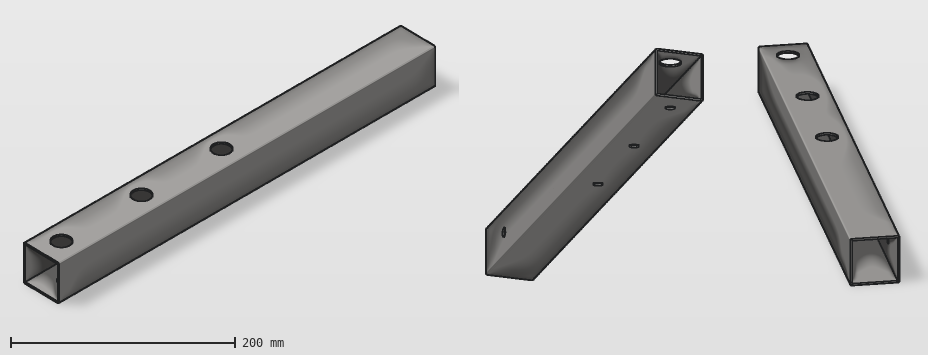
import cadquery as cq

tube_side = 45.0
tube_length = 470.0
wall = 2.0
corner_radius = 2.0

access_diameter = 20.0
screw_diameter = 8.5
screw_count = 3
screw_spacing = 100.0
first_screw_from_front = 25.0

side_hole_diameter = 8.5
side_hole_from_rear = 50.0

half_side = tube_side / 2
half_length = tube_length / 2
bore_side = tube_side - 2 * wall


def make_tube():
    """Open-ended square tube with rounded outer edges and a sharp-cornered bore."""
    outside = cq.Workplane("XY").box(tube_side, tube_length, tube_side)
    outside = outside.edges("|Y").fillet(corner_radius)
    bore = cq.Workplane("XY").box(bore_side, tube_length, bore_side)
    return outside.cut(bore)


def vertical_hole(y, diameter, bottom_z):
    """Cutter of half the tube's height, standing on bottom_z."""
    return cq.Workplane("XY", origin=(0, y, bottom_z)).circle(diameter / 2).extrude(half_side)


def side_hole():
    """Cutter that reaches from the -X face to the middle of the tube."""
    start = (-half_side, half_length - side_hole_from_rear, 0)
    return cq.Workplane("YZ", origin=start).circle(side_hole_diameter / 2).extrude(half_side)


result = make_tube()
for index in range(screw_count):
    screw_y = -half_length + first_screw_from_front + index * screw_spacing
    result = result.cut(vertical_hole(screw_y, access_diameter, 0))
    result = result.cut(vertical_hole(screw_y, screw_diameter, -half_side))
result = result.cut(side_hole())